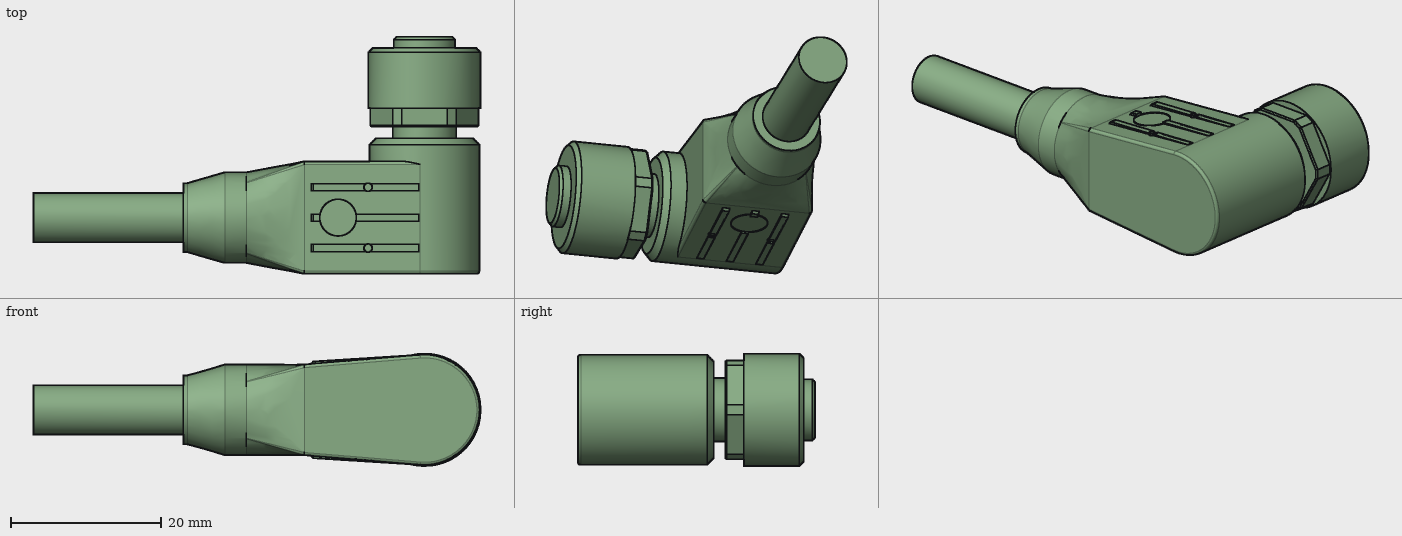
import cadquery as cq
import math


CABLE_RADIUS = 3.3
CABLE_END_X = -52.1
CABLE_LENGTH = 20.0
COLLAR_RADIUS = 4.6
COLLAR_LENGTH = 0.5
BOOT_RADIUS = 6.05
BOOT_BAND_START_X = -26.6
BOOT_BAND_END_X = -23.7

BODY_START_X = -16.0
BODY_HALF_WIDTH = 7.5
BODY_START_HALF_HEIGHT = BOOT_RADIUS
BODY_FILLET = 0.4
CORNER_ARC_ANGLE = 1.0

HEAD_RADIUS = 7.35
HEAD_END_Y = 10.6
HEAD_CHAMFER = 0.9

NECK_RADIUS = 4.25
HEX_START_Y = 12.1
HEX_ACROSS_FLATS = 13.2
HEX_CORNER_FLAT_DISTANCE = 14.45
HEX_CHAMFER = 0.2
NUT_START_Y = 14.6
NUT_END_Y = 22.6
NUT_RADIUS = 7.5
NUT_CHAMFER = 0.6
TIP_RADIUS = 4.1
TIP_END_Y = 24.1
TIP_CHAMFER = 0.4

RIB_START_HEIGHT = 0.3
RIB_END_HEIGHT = 0.02
RIB_WIDTH = 0.95
RIB_PITCH = 4.05
RIB_START_X = -15.1
RIB_END_X = -0.75
DISC_X = -11.5
DISC_RADIUS = 2.45
DIMPLE_X = -7.5
DIMPLE_RADIUS = 0.55
RECESS_DEPTH = 0.1

start_distance = math.hypot(BODY_START_X, BODY_START_HALF_HEIGHT)
start_angle = math.atan2(BODY_START_HALF_HEIGHT, BODY_START_X)
tangent_angle = start_angle - math.acos(HEAD_RADIUS / start_distance)
TANGENT_X = HEAD_RADIUS * math.cos(tangent_angle)
TANGENT_Z = HEAD_RADIUS * math.sin(tangent_angle)
FACE_SLOPE = (TANGENT_Z - BODY_START_HALF_HEIGHT) / (TANGENT_X - BODY_START_X)


def face_z(x):
    """Height of the upper sloped body face at x."""
    return BODY_START_HALF_HEIGHT + FACE_SLOPE * (x - BODY_START_X)


def cylinder_y(radius, start_y, end_y):
    """Cylinder on the connector axis."""
    plane = cq.Workplane("XZ", origin=(0, start_y, 0))
    return plane.circle(radius).extrude(start_y - end_y)


def make_cable_and_boot():
    """Cable, end collar, cone and straight band, turned about the X axis."""
    collar_x = CABLE_END_X + CABLE_LENGTH
    return (
        cq.Workplane("XY")
        .moveTo(CABLE_END_X, 0)
        .lineTo(CABLE_END_X, CABLE_RADIUS)
        .lineTo(collar_x, CABLE_RADIUS)
        .lineTo(collar_x, COLLAR_RADIUS)
        .lineTo(collar_x + COLLAR_LENGTH, COLLAR_RADIUS)
        .lineTo(BOOT_BAND_START_X, BOOT_RADIUS)
        .lineTo(BOOT_BAND_END_X, BOOT_RADIUS)
        .lineTo(BOOT_BAND_END_X, 0)
        .close()
        .revolve(360, (0, 0, 0), (1, 0, 0))
    )


def circle_point(angle, radius, center=(0, 0)):
    """Point on a circle, with the angle in degrees."""
    turn = math.radians(angle)
    return (center[0] + radius * math.cos(turn), center[1] + radius * math.sin(turn))


def make_transition():
    """Ruled blend from the round boot to the rounded rectangle of the body.

    Each rounded corner of the rectangle narrows to a very short arc on the boot.
    """
    flat_y = BODY_HALF_WIDTH - BODY_FILLET
    flat_z = BODY_START_HALF_HEIGHT - BODY_FILLET
    corner_angle = math.degrees(math.atan2(BODY_START_HALF_HEIGHT, BODY_HALF_WIDTH))
    quarter_arc_half = 45
    corners = [
        (corner_angle, (flat_y, flat_z), quarter_arc_half),
        (180 - corner_angle, (-flat_y, flat_z), 135),
        (180 + corner_angle, (-flat_y, -flat_z), 225),
        (360 - corner_angle, (flat_y, -flat_z), 315),
    ]
    half_arc = CORNER_ARC_ANGLE / 2
    boot_end = cq.Workplane("YZ", origin=(BOOT_BAND_END_X, 0, 0))
    boot_end = boot_end.moveTo(*circle_point(corner_angle - half_arc, BOOT_RADIUS))
    body_start = cq.Workplane("YZ", origin=(BODY_START_X, 0, 0))
    body_start = body_start.moveTo(BODY_HALF_WIDTH, flat_z)

    next_angles = [angle for angle, _, _ in corners[1:]] + [360 + corner_angle]
    for (angle, center, middle), next_angle in zip(corners, next_angles):
        boot_end = boot_end.threePointArc(
            circle_point(angle, BOOT_RADIUS), circle_point(angle + half_arc, BOOT_RADIUS)
        )
        boot_end = boot_end.threePointArc(
            circle_point((angle + next_angle) / 2, BOOT_RADIUS),
            circle_point(next_angle - half_arc, BOOT_RADIUS),
        )
        if center != corners[0][1]:
            corner_start = circle_point(middle - quarter_arc_half, BODY_FILLET, center)
            body_start = body_start.lineTo(*corner_start)
        body_start = body_start.threePointArc(
            circle_point(middle, BODY_FILLET, center),
            circle_point(middle + quarter_arc_half, BODY_FILLET, center),
        )
    sections = [boot_end.wire().val(), body_start.close().wire().val()]
    return cq.Workplane(cq.Solid.makeLoft(sections, True))


def make_body():
    """Teardrop block with rounded rims at both Y ends."""
    return (
        cq.Workplane("XZ", origin=(0, BODY_HALF_WIDTH, 0))
        .moveTo(BODY_START_X, -BODY_START_HALF_HEIGHT)
        .lineTo(TANGENT_X, -TANGENT_Z)
        .threePointArc((HEAD_RADIUS, 0), (TANGENT_X, TANGENT_Z))
        .lineTo(BODY_START_X, BODY_START_HALF_HEIGHT)
        .close()
        .extrude(2 * BODY_HALF_WIDTH)
        .faces("<Y or >Y")
        .edges("not(<X)")
        .fillet(BODY_FILLET)
    )


def make_head():
    """Round head that carries the connector."""
    return cylinder_y(HEAD_RADIUS, 0, HEAD_END_Y).faces(">Y").chamfer(HEAD_CHAMFER)


def make_hex():
    """Hexagon of the nut with its six corners cut flat."""
    across_corners = HEX_ACROSS_FLATS / math.cos(math.pi / 6)
    height = NUT_START_Y - HEX_START_Y
    plane = cq.Workplane("XZ", origin=(0, HEX_START_Y, 0))
    hexagon = plane.polygon(6, across_corners).extrude(-height)
    corner_cutter_diameter = HEX_CORNER_FLAT_DISTANCE / math.cos(math.pi / 6)
    corner_cutter = plane.polygon(6, corner_cutter_diameter).extrude(-height)
    corner_cutter = corner_cutter.rotate((0, 0, 0), (0, 1, 0), 30)
    return hexagon.intersect(corner_cutter).faces("<Y").chamfer(HEX_CHAMFER)


def make_connector():
    """Neck, hexagon, coupling nut and contact carrier along the Y axis."""
    neck = cylinder_y(NECK_RADIUS, 0, NUT_START_Y)
    nut = cylinder_y(NUT_RADIUS, NUT_START_Y, NUT_END_Y).faces(">Y").chamfer(NUT_CHAMFER)
    tip = cylinder_y(TIP_RADIUS, NUT_START_Y, TIP_END_Y).faces(">Y").chamfer(TIP_CHAMFER)
    return neck.union(make_hex()).union(nut).union(tip)


def make_ribs():
    """Three ribs raised on the upper sloped face.

    The relief fades toward the head.
    """
    ramp_top_x = RIB_START_X + RIB_START_HEIGHT
    layer = (
        cq.Workplane("XZ", origin=(0, BODY_HALF_WIDTH, 0))
        .moveTo(RIB_START_X, 0)
        .lineTo(RIB_START_X, face_z(RIB_START_X))
        .lineTo(ramp_top_x, face_z(ramp_top_x) + RIB_START_HEIGHT)
        .lineTo(RIB_END_X, face_z(RIB_END_X) + RIB_END_HEIGHT)
        .lineTo(RIB_END_X, 0)
        .close()
        .extrude(2 * BODY_HALF_WIDTH)
    )
    rib_length = RIB_END_X - RIB_START_X
    rib_center_x = (RIB_START_X + RIB_END_X) / 2
    column_height = 2 * HEAD_RADIUS
    columns = (
        cq.Workplane("XY")
        .pushPoints([(rib_center_x, row * RIB_PITCH) for row in (-1, 0, 1)])
        .rect(rib_length, RIB_WIDTH)
        .extrude(column_height)
    )
    return layer.intersect(columns)


def make_recesses():
    """Cutters for the round disc and the two rib dimples, square to the upper sloped face."""

    def recess(x, y, radius):
        floor_center = (x, y, face_z(x) - RECESS_DEPTH)
        floor = cq.Plane(floor_center, xDir=(1, 0, FACE_SLOPE), normal=(-FACE_SLOPE, 0, 1))
        return cq.Workplane(floor).circle(radius).extrude(RECESS_DEPTH + 2 * RIB_START_HEIGHT)

    cutters = recess(DISC_X, 0, DISC_RADIUS)
    for dimple_y in (-RIB_PITCH, RIB_PITCH):
        cutters = cutters.union(recess(DIMPLE_X, dimple_y, DIMPLE_RADIUS))
    return cutters


ribs = make_ribs()
recesses = make_recesses()
body = make_body().union(ribs).union(ribs.mirror("XY"))
body = body.cut(recesses).cut(recesses.mirror("XY"))
angled_plug = body.union(make_head()).union(make_connector())
result = angled_plug.union(make_transition()).union(make_cable_and_boot())